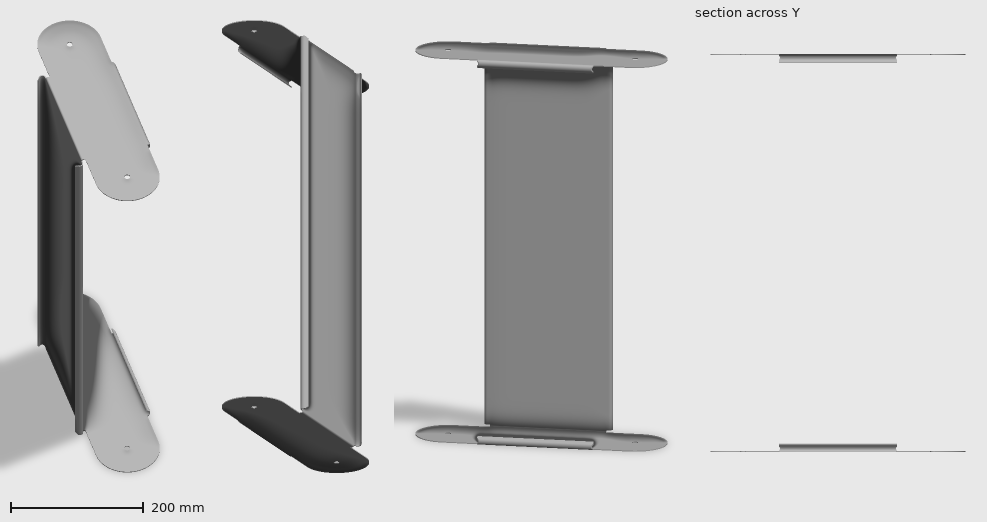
import cadquery as cq
import math

height = 600.0
overall_depth = 121.25
sheet = 1.5

plate_length = 385.0
plate_width = 98.0
hole_spacing = 287.0
hole_diameter = 9.0

web_bend_radius = 2.5
strip_width = 178.0
web_width = 197.0

hem_radius = 5.5
hem_angle = 135.0
lip_length = 5.0
side_hem_height = 593.0
side_lip_corner = 4.0
plate_hem_corner = 3.0


def turned_point(radius, angle):
    """Point on a roll about (0, hem_radius), turned by angle degrees from the sheet."""
    turn = math.radians(angle)
    return radius * math.sin(turn), hem_radius - radius * math.cos(turn)


def lip_point(radius):
    """Free end of the lip that leaves the roll tangentially."""
    x, y = turned_point(radius, hem_angle)
    turn = math.radians(hem_angle)
    return x + lip_length * math.cos(turn), y + lip_length * math.sin(turn)


def make_hem(plane, width):
    """Rolled edge: local x runs out along the sheet, local y points to the rolled side.

    The roll is made of a quarter turn followed by the rest of the angle.
    """
    inner_radius = hem_radius - sheet
    quarter = 90.0
    first_middle = quarter / 2
    second_middle = (quarter + hem_angle) / 2
    return (
        cq.Workplane(plane)
        .threePointArc(turned_point(hem_radius, first_middle), turned_point(hem_radius, quarter))
        .threePointArc(turned_point(hem_radius, second_middle), turned_point(hem_radius, hem_angle))
        .lineTo(*lip_point(hem_radius))
        .lineTo(*lip_point(inner_radius))
        .lineTo(*turned_point(inner_radius, hem_angle))
        .threePointArc(turned_point(inner_radius, second_middle), turned_point(inner_radius, quarter))
        .threePointArc(turned_point(inner_radius, first_middle), (0, sheet))
        .close()
        .extrude(width / 2, both=True)
    )


hem_depth = lip_point(hem_radius)[1]
plate_hem_start = plate_width / 2
plate_hem_back = plate_hem_start + hem_radius
web_inner_face = plate_hem_back - overall_depth + hem_depth
web_outer_face = web_inner_face - sheet
web_flat_width = web_width - 2 * hem_radius


def make_web():
    """Flat sheet between the end bends, with full width over the length of the side hems."""
    flat_height = height - 2 * web_bend_radius
    middle = cq.Workplane("XY").box(web_flat_width, sheet, side_hem_height)
    strip = cq.Workplane("XY").box(strip_width, sheet, flat_height)
    return middle.union(strip).translate((0, web_outer_face + sheet / 2, 0))


def make_side_hem(side):
    """Hem along one side of the web, rolled away from the plates, with its lip corners cut off."""
    plane = cq.Plane(
        origin=(side * web_flat_width / 2, web_inner_face, 0),
        xDir=(side, 0, 0),
        normal=(0, 0, -side),
    )
    hem = make_hem(plane, side_hem_height)
    lip_end = web_inner_face - hem_depth
    for end in (-1, 1):
        corner_z = end * side_hem_height / 2
        corner = (
            cq.Workplane("YZ")
            .moveTo(lip_end, corner_z)
            .lineTo(lip_end + side_lip_corner, corner_z)
            .lineTo(lip_end, corner_z - end * side_lip_corner)
            .close()
            .extrude(web_width / 2, both=True)
        )
        hem = hem.cut(corner)
    return hem


def make_plate(side):
    """End plate with two holes and the tab that reaches to the web bend; side is +1 at the top."""
    tab_front = web_outer_face + web_bend_radius
    plate = cq.Workplane("XY").slot2D(plate_length, plate_width).extrude(sheet)
    tab = cq.Workplane("XY").box(strip_width, -tab_front, sheet, centered=(True, False, False))
    plate = (
        plate.union(tab.translate((0, tab_front, 0)))
        .faces(">Z")
        .workplane(origin=(0, 0, 0))
        .pushPoints([(-hole_spacing / 2, 0), (hole_spacing / 2, 0)])
        .hole(hole_diameter)
    )
    bottom = height / 2 - sheet if side > 0 else -height / 2
    return plate.translate((0, 0, bottom))


def make_plate_hem(side):
    """Hem at the back of a plate, rolled toward the other plate, with its outer corners cut off."""
    plane = cq.Plane(
        origin=(0, plate_hem_start, side * height / 2),
        xDir=(0, 1, 0),
        normal=(-side, 0, 0),
    )
    hem = make_hem(plane, strip_width)
    for end in (-1, 1):
        corner_x = end * strip_width / 2
        corner = (
            cq.Workplane("XY")
            .moveTo(corner_x, plate_hem_back)
            .lineTo(corner_x, plate_hem_back - plate_hem_corner)
            .lineTo(corner_x - end * plate_hem_corner, plate_hem_back)
            .close()
            .extrude(height / 2, both=True)
        )
        hem = hem.cut(corner)
    return hem


def make_web_bend(side):
    """Quarter bend joining the web to an end plate."""
    centre_y = web_outer_face + web_bend_radius
    centre_z = side * (height / 2 - web_bend_radius)
    ring = (
        cq.Workplane("YZ")
        .center(centre_y, centre_z)
        .circle(web_bend_radius)
        .circle(web_bend_radius - sheet)
        .extrude(strip_width / 2, both=True)
    )
    half_radius = web_bend_radius / 2
    quadrant = cq.Workplane("XY").box(strip_width, web_bend_radius, web_bend_radius)
    quadrant = quadrant.translate((0, centre_y - half_radius, centre_z + side * half_radius))
    return ring.intersect(quadrant)


result = make_web()
for side in (-1, 1):
    result = result.union(make_side_hem(side))
    result = result.union(make_web_bend(side))
    result = result.union(make_plate(side))
    result = result.union(make_plate_hem(side))